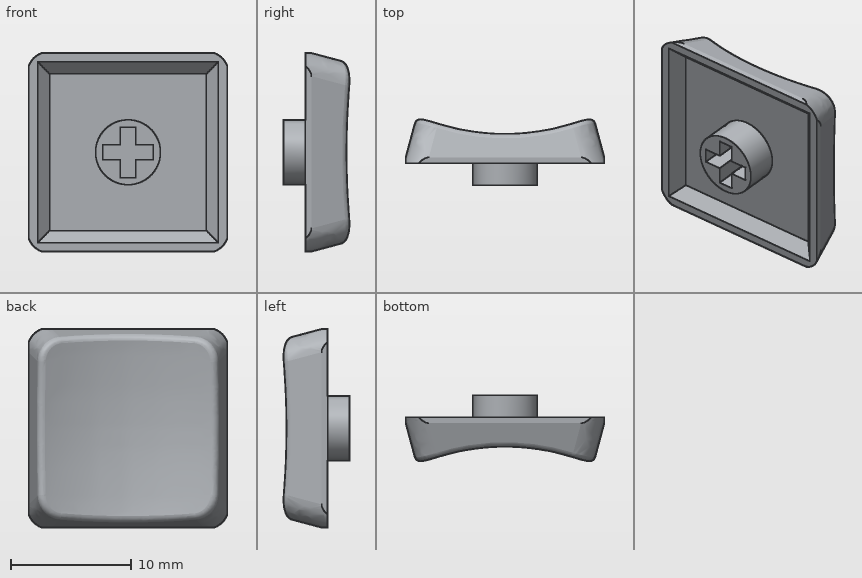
import cadquery as cq
import math

width = 16.5
blank_height = 6.6
wall_angle = 15.0
band_height = 0.5
corner_radius = 2.0
edge_radius = 0.5

dish_floor = 2.01
dish_radius_x = 17.98
dish_radius_z = 62.7

pocket_inset = 0.75
pocket_depth = 1.0

stem_diameter = 5.4
stem_length = 1.83
cross_span = 4.19
cross_arm = 1.25
cross_depth = stem_length + pocket_depth


def frustum(base_side, end_side, height):
    """Square frustum centred on the Y axis, rising from Y = 0 to +Y."""
    return (
        cq.Workplane("XZ")
        .rect(base_side, base_side)
        .workplane(offset=-height)
        .rect(end_side, end_side)
        .loft(ruled=True)
    )


def dish_cutter():
    """Doubly curved cutter: an arc across X swung about an axis parallel to X."""
    half = width * 0.6
    end_height = dish_floor + dish_radius_x - math.sqrt(dish_radius_x**2 - half**2)
    top = blank_height + band_height + dish_floor
    axis_height = dish_floor + dish_radius_z
    swing = 30.0
    return (
        cq.Workplane("XY")
        .moveTo(-half, end_height)
        .threePointArc((0, dish_floor), (half, end_height))
        .lineTo(half, top)
        .lineTo(-half, top)
        .close()
        .revolve(swing, (0, axis_height), (1, axis_height))
        .rotate((0, axis_height, 0), (1, axis_height, 0), -swing / 2)
    )


def outer_body():
    """Tapered, dished block with rounded edges, trimmed to the straight band."""
    lean = math.tan(math.radians(wall_angle))
    base_side = width + 2 * band_height * lean
    end_side = base_side - 2 * blank_height * lean
    body = frustum(base_side, end_side, blank_height)

    body = body.edges("not(|X or |Z)").fillet(corner_radius)
    body = body.cut(dish_cutter())
    body = body.faces(">Y").edges().fillet(edge_radius)
    band = cq.Workplane("XY").box(width, 2 * blank_height, width)
    return body.intersect(band)


def pocket():
    opening = width - 2 * pocket_inset
    return frustum(opening, opening - 2 * pocket_depth, pocket_depth)


def stem():
    return (
        cq.Workplane("XZ", origin=(0, pocket_depth, 0))
        .circle(stem_diameter / 2)
        .extrude(pocket_depth + stem_length)
    )


def cross_socket():
    plane = cq.Workplane("XZ", origin=(0, cross_depth - stem_length, 0))
    upright = plane.rect(cross_arm, cross_span).extrude(cross_depth)
    return upright.union(plane.rect(cross_span, cross_arm).extrude(cross_depth))


result = outer_body().cut(pocket()).union(stem()).cut(cross_socket())